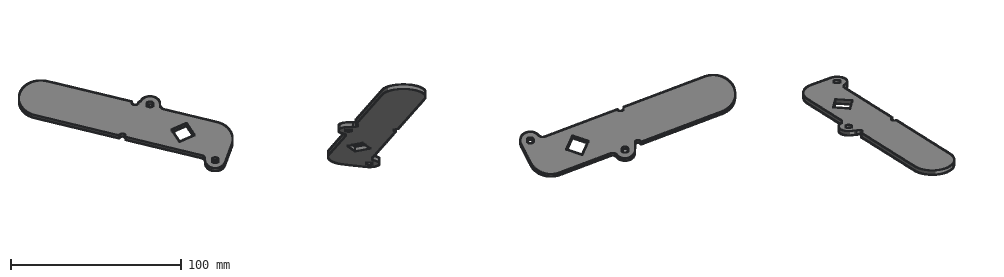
import cadquery as cq
import math

length = 130.0
width = 26.0
thickness = 3.0
half_width = width / 2

lug_radius = 6.0
lug_rise = 7.0
lug_hole_diameter = 4.0
lug_blend_radius = 3.0
upper_lug_x = 75.7
lower_lug_x = length - lug_radius
lug_y = half_width + lug_rise - lug_radius

notch_x = 66.8
notch_radius = 2.0
window_x = 100.1
window_side = 10.0


def disc(x, y, radius):
    return cq.Workplane("XY").center(x, y).circle(radius).extrude(thickness)


def block(x_min, x_max, y_min, y_max):
    size_x = x_max - x_min
    size_y = y_max - y_min
    return cq.Workplane("XY").box(size_x, size_y, thickness, centered=False).translate((x_min, y_min, 0))


def lug_blend(lug_x, direction, side):
    """Concave blend from a lug to the plate edge; direction is along X, side is the edge's sign in Y."""
    blend_y = half_width + lug_blend_radius
    center_distance = lug_radius + lug_blend_radius
    reach = math.sqrt(center_distance**2 - (blend_y - lug_y) ** 2)
    blend_x = lug_x + direction * reach
    web = (
        cq.Workplane("XY")
        .moveTo(lug_x, side * lug_y)
        .lineTo(blend_x, side * blend_y)
        .lineTo(blend_x, side * half_width)
        .lineTo(lug_x, side * half_width)
        .close()
        .extrude(thickness)
    )
    return web.cut(disc(blend_x, side * blend_y, lug_blend_radius))


plate = block(half_width, length, -half_width, half_width)
plate = plate.edges("|Z and >X and >Y").fillet(half_width)
plate = plate.union(disc(half_width, 0, half_width))

plate = plate.union(disc(upper_lug_x, lug_y, lug_radius))
plate = plate.union(disc(lower_lug_x, -lug_y, lug_radius))
plate = plate.union(block(lower_lug_x, length, -lug_y, 0))
for lug_x, direction, side in ((upper_lug_x, -1, 1), (upper_lug_x, 1, 1), (lower_lug_x, -1, -1)):
    plate = plate.union(lug_blend(lug_x, direction, side))

for lug_x, side in ((upper_lug_x, 1), (lower_lug_x, -1)):
    plate = plate.cut(disc(lug_x, side * lug_y, lug_hole_diameter / 2))

for side in (1, -1):
    plate = plate.cut(disc(notch_x, side * half_width, notch_radius))

window = cq.Workplane("XY").rect(window_side, window_side).extrude(thickness)
window = window.rotate((0, 0, 0), (0, 0, 1), 45).translate((window_x, 0, 0))

result = plate.cut(window).clean()